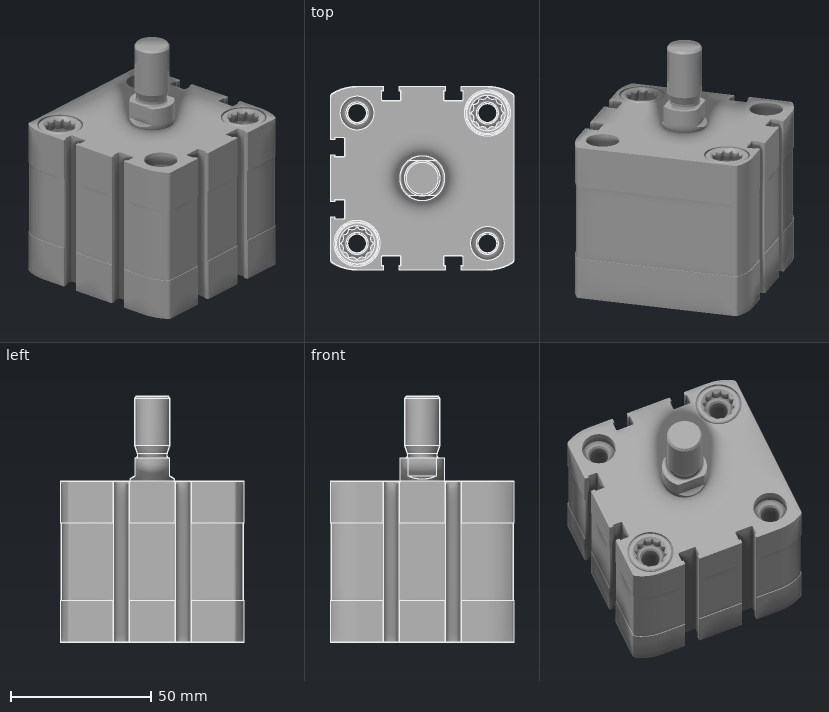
import cadquery as cq
import math

total_height = 87.9
body_width = 65.5
body_height = 57.6
cap_height = 15.0
tube_inset = 0.3

corner_radius = 16.9
corner_round = 1.3

slot_offset = 11.1
slot_mouth = 5.45
slot_width = 6.8
slot_depth = 5.1
slot_lip = 1.6
slot_floor_round = 0.4
slot_mouth_chamfer = 0.2

hole_spacing = 46.5
through_diameter = 6.7
seat_chamfer_diameter = 7.8
seat_chamfer_depth = 0.7
counterbore_diameter = 12.0
counterbore_depth = 4.8

head_bore_diameter = 16.4
head_diameter = 15.5
head_chamfer = 0.4
head_gap_depth = 0.9
socket_rim_diameter = 12.7
socket_bore_diameter = 10.2
socket_tip_diameter = 11.8
socket_depth = 4.1
socket_squares = 3

collar_diameter = 16.0
collar_height = 8.3
flat_spacing = 12.5
flat_start = 1.85
flat_runout_start = 0.7
thread_diameter = 12.7
thread_start = 12.7
thread_chamfer_height = 0.9
thread_chamfer_width = 0.6
neck_diameter = 10.6
neck_top = 9.8
neck_fillet = 0.7

hole_place = hole_spacing / 2
corner_arc_start = hole_place
plain_corners = [(-hole_place, hole_place), (hole_place, -hole_place)]
screw_corners = [(-hole_place, -hole_place), (hole_place, hole_place)]
tube_height = body_height - 2 * cap_height


def rounded_block(half_width, height):
    """Square block whose Y sides curve down to the X sides at every corner."""
    run = half_width - corner_arc_start
    side_y = half_width - corner_radius + math.sqrt(corner_radius**2 - run**2)
    mid_x = corner_arc_start + run / 2
    mid_y = half_width - corner_radius + math.sqrt(corner_radius**2 - (run / 2) ** 2)
    return (
        cq.Workplane("XY")
        .moveTo(-corner_arc_start, half_width)
        .lineTo(corner_arc_start, half_width)
        .threePointArc((mid_x, mid_y), (half_width, side_y))
        .lineTo(half_width, -side_y)
        .threePointArc((mid_x, -mid_y), (corner_arc_start, -half_width))
        .lineTo(-corner_arc_start, -half_width)
        .threePointArc((-mid_x, -mid_y), (-half_width, -side_y))
        .lineTo(-half_width, side_y)
        .threePointArc((-mid_x, mid_y), (-corner_arc_start, half_width))
        .close()
        .extrude(height)
        .edges("|Z and (>X or <X)")
        .fillet(corner_round)
    )


def t_slot():
    """T-slot cutter over the whole body height, open on the +Y side."""
    side_y = body_width / 2
    mouth = slot_mouth / 2
    channel = slot_width / 2
    return (
        cq.Workplane("XY")
        .moveTo(-channel, side_y - slot_depth)
        .lineTo(channel, side_y - slot_depth)
        .lineTo(channel, side_y - slot_lip)
        .lineTo(mouth, side_y - slot_lip)
        .lineTo(mouth, side_y - slot_mouth_chamfer)
        .lineTo(mouth + slot_mouth_chamfer, side_y)
        .lineTo(-mouth - slot_mouth_chamfer, side_y)
        .lineTo(-mouth, side_y - slot_mouth_chamfer)
        .lineTo(-mouth, side_y - slot_lip)
        .lineTo(-channel, side_y - slot_lip)
        .close()
        .extrude(body_height)
        .edges("|Z and <Y")
        .fillet(slot_floor_round)
    )


def cone_cutter(top_diameter, bottom_diameter, depth, top_z):
    """Tapered plug that narrows downward from top_z."""
    return cq.Workplane(
        cq.Solid.makeCone(
            top_diameter / 2, bottom_diameter / 2, depth, cq.Vector(0, 0, top_z), cq.Vector(0, 0, -1)
        )
    )


def round_cutter(diameter, depth):
    """Cylinder that goes down from the top face of the body."""
    return cq.Workplane("XY").workplane(offset=body_height - depth).circle(diameter / 2).extrude(depth)


def seated_hole(seat_depth):
    """Through hole with a chamfered mouth at the given depth."""
    mouth = cone_cutter(
        seat_chamfer_diameter, through_diameter, seat_chamfer_depth, body_height - seat_depth
    )
    return round_cutter(through_diameter, body_height).union(mouth)


def counterbored_hole():
    """Hole of the two corners without screws."""
    return seated_hole(counterbore_depth).union(round_cutter(counterbore_diameter, counterbore_depth))


def socket():
    """Twelve-notched screw socket with a conical rim, and the hole below it."""
    recess = round_cutter(socket_bore_diameter, socket_depth)
    square_side = socket_tip_diameter / math.sqrt(2)
    for index in range(socket_squares):
        square = (
            cq.Workplane("XY")
            .workplane(offset=body_height - socket_depth)
            .rect(square_side, square_side)
            .extrude(socket_depth)
            .rotate((0, 0, 0), (0, 0, 1), 45 + index * 90 / socket_squares)
        )
        recess = recess.union(square)
    rim_depth = (socket_rim_diameter - socket_bore_diameter) / 2
    rim = cone_cutter(socket_rim_diameter, socket_bore_diameter, rim_depth, body_height)
    return seated_hole(socket_depth).union(recess).union(rim)


def head_groove():
    """Ring gap around a screw head, whose chamfered top is flush with the body."""
    return (
        cq.Workplane("XZ")
        .moveTo(head_diameter / 2 - head_chamfer, body_height)
        .lineTo(head_bore_diameter / 2, body_height)
        .lineTo(head_bore_diameter / 2, body_height - head_gap_depth)
        .lineTo(head_diameter / 2, body_height - head_gap_depth)
        .lineTo(head_diameter / 2, body_height - head_chamfer)
        .close()
        .revolve(360, (0, 0, 0), (0, 1, 0))
    )


def make_housing():
    """Two end caps with the tube between them, slotted and drilled."""
    tube = rounded_block(body_width / 2 - tube_inset, tube_height)
    body = tube.translate((0, 0, cap_height))
    for base_z in (0, cap_height + tube_height):
        cap = rounded_block(body_width / 2, cap_height)
        body = body.union(cap.translate((0, 0, base_z)))
    for side_angle in (0, 90, 180):
        for offset in (-slot_offset, slot_offset):
            slot = t_slot().translate((offset, 0, 0))
            body = body.cut(slot.rotate((0, 0, 0), (0, 0, 1), side_angle))
    for x, y in plain_corners:
        body = body.cut(counterbored_hole().translate((x, y, 0)))
    for x, y in screw_corners:
        body = body.cut(socket().translate((x, y, 0)))
        body = body.cut(head_groove().translate((x, y, 0)))
    return body


def rod_blank():
    """Turned rod: collar, neck that widens to the thread, and end chamfer."""
    length = total_height - body_height
    collar_radius = collar_diameter / 2
    thread_radius = thread_diameter / 2
    neck_radius = neck_diameter / 2
    fillet_mid = neck_fillet * (1 - math.sqrt(0.5))
    return (
        cq.Workplane("XZ")
        .lineTo(collar_radius, 0)
        .lineTo(collar_radius, collar_height)
        .lineTo(neck_radius + neck_fillet, collar_height)
        .threePointArc(
            (neck_radius + fillet_mid, collar_height + fillet_mid),
            (neck_radius, collar_height + neck_fillet),
        )
        .lineTo(neck_radius, neck_top)
        .lineTo(thread_radius, thread_start)
        .lineTo(thread_radius, length - thread_chamfer_height)
        .lineTo(thread_radius - thread_chamfer_width, length)
        .lineTo(0, length)
        .close()
        .revolve(360, (0, 0, 0), (0, 1, 0))
    )


def flat_cutter():
    """Removes the +Y side of the collar down to the flat, with a sloped run-out."""
    flat_y = flat_spacing / 2
    collar_radius = collar_diameter / 2
    return (
        cq.Workplane("YZ")
        .moveTo(flat_y, flat_start)
        .lineTo(flat_y, collar_height)
        .lineTo(collar_radius, collar_height)
        .lineTo(collar_radius, flat_runout_start)
        .close()
        .extrude(collar_radius, both=True)
    )


def make_piston_rod():
    """Piston rod standing on the top face, with two wrench flats."""
    rod = rod_blank()
    for angle in (0, 180):
        rod = rod.cut(flat_cutter().rotate((0, 0, 0), (0, 0, 1), angle))
    return rod.translate((0, 0, body_height))


housing = make_housing()
piston_rod = make_piston_rod()

result = cq.Compound.makeCompound([housing.val(), piston_rod.val()])